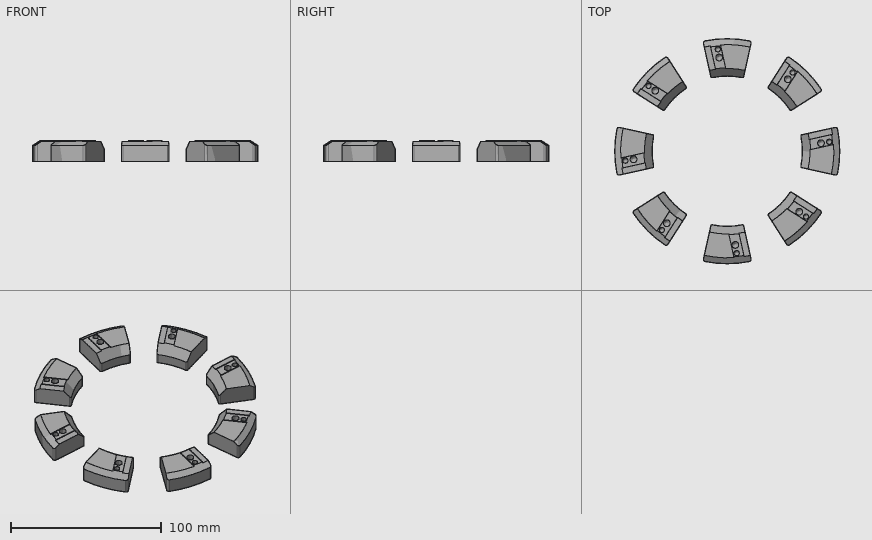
import cadquery as cq
import math

PAD_COUNT = 8
OUTER_RADIUS = 74.8
INNER_RADIUS = 49.8
HALF_ANGLE = 12.5
HEIGHT = 13.9
OUTER_CORNER_RADIUS = 1.5
INNER_CORNER_RADIUS = 1.0

OUTER_BEVEL_WIDTH = 4.6
OUTER_BEVEL_DROP = 3.1
INNER_BEVEL_WIDTH = 5.5
INNER_BEVEL_DROP = 6.3

STRIP_INSET = 4.2
STRIP_WIDTH = 6.7
STRIP_RISE = 0.5

HOLE_DEPTH = 4.5
HOLES = [(4.5, 62.0, 8.2), (3.5, 67.5, 8.5)]
DRILL_POINT_ANGLE = 90.0


def polar(radius, angle):
    """Point at the given radius and angle in degrees from +X."""
    return (radius * math.cos(math.radians(angle)), radius * math.sin(math.radians(angle)))


def sector_block():
    """Annular sector centred on +X, with rounded vertical corners."""
    return (
        cq.Workplane("XY")
        .moveTo(*polar(INNER_RADIUS, -HALF_ANGLE))
        .lineTo(*polar(OUTER_RADIUS, -HALF_ANGLE))
        .threePointArc((OUTER_RADIUS, 0), polar(OUTER_RADIUS, HALF_ANGLE))
        .lineTo(*polar(INNER_RADIUS, HALF_ANGLE))
        .threePointArc((INNER_RADIUS, 0), polar(INNER_RADIUS, -HALF_ANGLE))
        .close()
        .extrude(HEIGHT)
        .edges("|Z").edges(">X")
        .fillet(OUTER_CORNER_RADIUS)
        .edges("|Z").edges("<X")
        .fillet(INNER_CORNER_RADIUS)
    )


def bevelled_ring():
    """Full ring whose section has both top corners bevelled."""
    section = [
        (INNER_RADIUS, 0),
        (OUTER_RADIUS, 0),
        (OUTER_RADIUS, HEIGHT - OUTER_BEVEL_DROP),
        (OUTER_RADIUS - OUTER_BEVEL_WIDTH, HEIGHT),
        (INNER_RADIUS + INNER_BEVEL_WIDTH, HEIGHT),
        (INNER_RADIUS, HEIGHT - INNER_BEVEL_DROP),
    ]
    return cq.Workplane("XZ").polyline(section).close().revolve(360, (0, 0, 0), (0, 1, 0))


def along_side(shape):
    """Turn a shape laid out along +X so that it follows the +Y radial side of the pad."""
    return shape.rotate((0, 0, 0), (0, 0, 1), HALF_ANGLE)


def layer_above_base():
    """Slab of material to remove beside the strip, leaving the strip standing proud."""
    slab = cq.Workplane("XY").box(
        2 * OUTER_RADIUS, 2 * OUTER_RADIUS, STRIP_RISE, centered=(True, True, False)
    )
    strip = cq.Workplane("XY").box(
        OUTER_RADIUS, STRIP_WIDTH, STRIP_RISE, centered=(False, False, False)
    )
    strip = along_side(strip.translate((0, -STRIP_INSET - STRIP_WIDTH, 0)))
    return slab.cut(strip).translate((0, 0, HEIGHT - STRIP_RISE))


def drilled_hole(diameter, distance, inset):
    """Blind hole cutter with a conical drill point."""
    radius = diameter / 2
    point_depth = radius / math.tan(math.radians(DRILL_POINT_ANGLE / 2))
    cutter = (
        cq.Workplane("XZ")
        .polyline([(0, 0), (radius, 0), (radius, -HOLE_DEPTH), (0, -HOLE_DEPTH - point_depth)])
        .close()
        .revolve(360, (0, 0, 0), (0, 1, 0))
    )
    return along_side(cutter.translate((distance, -inset, HEIGHT)))


def make_pad():
    """One pad, centred on +X."""
    pad = sector_block().intersect(bevelled_ring()).cut(layer_above_base())
    for diameter, distance, inset in HOLES:
        pad = pad.cut(drilled_hole(diameter, distance, inset))
    return pad


pad = make_pad()
pads = [
    pad.rotate((0, 0, 0), (0, 0, 1), index * 360 / PAD_COUNT).val()
    for index in range(PAD_COUNT)
]
result = cq.Compound.makeCompound(pads)